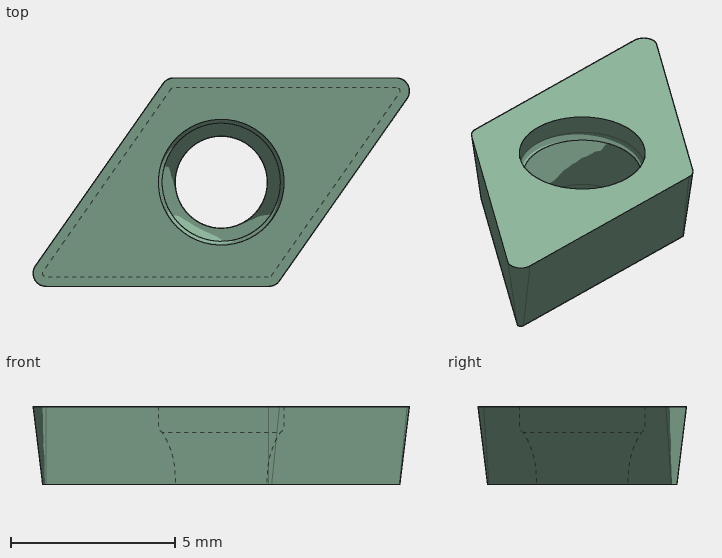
import cadquery as cq
import math

inscribed_diameter = 6.35
thickness = 2.37
corner_angle = 55.0
nose_radius = 0.4
relief_angle = 7.0

mouth_diameter = 3.83
mouth_depth = 0.57
seat_diameter = 3.6
fillet_height = 0.21
seat_height = 1.36
bore_diameter = 2.8

side = inscribed_diameter / math.sin(math.radians(corner_angle))
half_width = inscribed_diameter / 2
lean = half_width / math.tan(math.radians(corner_angle))


def make_body():
    """Rhombic prism with rounded corners, narrowing downward by the relief angle."""
    corners = [
        (-side / 2 - lean, -half_width),
        (side / 2 - lean, -half_width),
        (side / 2 + lean, half_width),
        (-side / 2 + lean, half_width),
    ]
    outline = cq.Sketch().polygon(corners + corners[:1]).vertices().fillet(nose_radius)
    top_plane = cq.Workplane("XY").workplane(offset=thickness)
    return top_plane.placeSketch(outline).extrude(-thickness, taper=relief_angle)


def tangent_arc_middle(vertical_end, other_end):
    """Middle point of an arc that is vertical at its first end, given as (radius, z) pairs."""
    width = other_end[0] - vertical_end[0]
    height = other_end[1] - vertical_end[1]
    half_sweep = math.atan(abs(width / height))
    arc_radius = abs(height) / math.sin(2 * half_sweep)
    return (
        vertical_end[0] + math.copysign(arc_radius * (1 - math.cos(half_sweep)), width),
        vertical_end[1] + math.copysign(arc_radius * math.sin(half_sweep), height),
    )


def make_screw_hole():
    """Revolved cutter: the fillet is tangent to the mouth and the seat is tangent to the bore."""
    mouth_end = (mouth_diameter / 2, thickness - mouth_depth)
    seat_edge = (seat_diameter / 2, mouth_end[1] - fillet_height)
    bore_start = (bore_diameter / 2, seat_edge[1] - seat_height)
    profile = (
        cq.Workplane("XZ")
        .lineTo(bore_start[0], 0)
        .lineTo(*bore_start)
        .threePointArc(tangent_arc_middle(bore_start, seat_edge), seat_edge)
        .threePointArc(tangent_arc_middle(mouth_end, seat_edge), mouth_end)
        .lineTo(mouth_end[0], thickness)
        .lineTo(0, thickness)
        .close()
    )
    return profile.revolve(360, (0, 0, 0), (0, 1, 0))


result = make_body().cut(make_screw_hole())